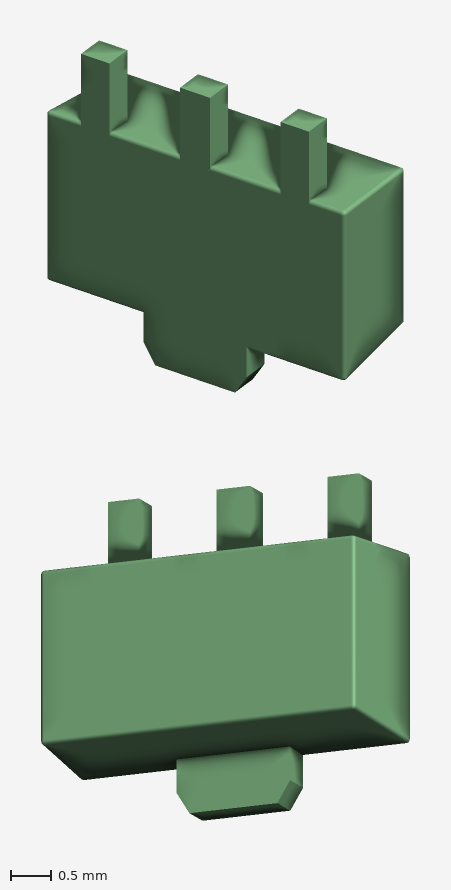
import cadquery as cq
import math

HOUSING_WIDTH = 4.49
HOUSING_HEIGHT = 2.443
HOUSING_DEPTH = 1.5
DRAFT_ANGLE = 4.0
EDGE_RADIUS = 0.05

METAL_THICKNESS = 0.4

LEAD_PITCH = 1.5
OUTER_LEAD_WIDTH = 0.425
CENTER_LEAD_WIDTH = 0.455
LEAD_LENGTH = 1.0

TAB_WIDTH = 1.55
TAB_LENGTH = 0.685
TAB_CHAMFER_WIDTH = 0.175
TAB_CHAMFER_HEIGHT = 0.28

draft = math.radians(DRAFT_ANGLE)
rounding_loss = EDGE_RADIUS * (math.tan(draft) + 1 / math.cos(draft) - 1)
sharp_width = HOUSING_WIDTH + 2 * rounding_loss
sharp_height = HOUSING_HEIGHT + 2 * rounding_loss

edge_setback = EDGE_RADIUS / math.tan((math.pi / 2 - draft) / 2)
metal_root = sharp_height / 2 - edge_setback
lead_tip = HOUSING_HEIGHT / 2 + LEAD_LENGTH
tab_tip = -(HOUSING_HEIGHT / 2 + TAB_LENGTH)


def make_lead(center_x, width):
    """Straight rectangular lead rising from the top of the housing."""
    height = lead_tip - metal_root
    return (
        cq.Workplane("XY", origin=(center_x, 0, metal_root))
        .box(width, METAL_THICKNESS, height, centered=(True, False, False))
    )


def make_tab():
    """Flat tab below the housing with two chamfered lower corners."""
    half_width = TAB_WIDTH / 2
    half_tip = half_width - TAB_CHAMFER_WIDTH
    chamfer_top = tab_tip + TAB_CHAMFER_HEIGHT
    return (
        cq.Workplane("XZ")
        .polyline([
            (-half_width, -metal_root),
            (half_width, -metal_root),
            (half_width, chamfer_top),
            (half_tip, tab_tip),
            (-half_tip, tab_tip),
            (-half_width, chamfer_top),
        ])
        .close()
        .extrude(-METAL_THICKNESS)
    )


def make_housing(metal_parts):
    """Drafted block with all edges rounded and a recess for each metal part."""
    body = (
        cq.Workplane("XZ")
        .rect(sharp_width, sharp_height)
        .extrude(-HOUSING_DEPTH, taper=DRAFT_ANGLE)
        .edges()
        .fillet(EDGE_RADIUS)
    )
    for part in metal_parts:
        body = body.cut(part)
    return body.solids()


lead_places = [
    (-LEAD_PITCH, OUTER_LEAD_WIDTH),
    (0, CENTER_LEAD_WIDTH),
    (LEAD_PITCH, OUTER_LEAD_WIDTH),
]
leads = [make_lead(center_x, width) for center_x, width in lead_places]
tab = make_tab()
housing = make_housing([*leads, tab])

result = cq.Compound.makeCompound([housing.val(), *[lead.val() for lead in leads], tab.val()])